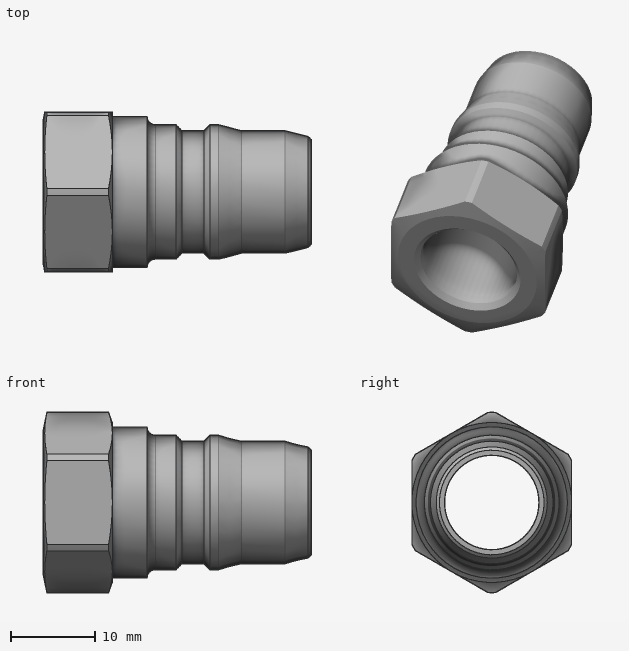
import cadquery as cq
import math

total_length = 31.9
head_length = 8.23
across_flats = 19.0
corner_diameter = 21.47
head_face_diameter = 17.13
corner_bevel_length = 0.45

collar_diameter = 18.0
collar_end = 12.38
collar_fillet = 0.95

land_diameter = 16.0
land_end = 15.8
groove_diameter = 14.58
groove_end = 19.1
groove_depth = (land_diameter - groove_diameter) / 2
ridge_end = 20.85

nose_start = 23.57
nose_end = 28.75
tip_radius = 6.6
tip_bevel = 0.38

bore_mouth_diameter = 13.15
bore_diameter = 11.9
bore_depth = 15.95
exit_diameter = 11.2


def revolve_about_x(profile):
    return profile.close().revolve(360, (0, 0, 0), (1, 0, 0))


def make_head():
    hexagon = (
        cq.Workplane("YZ")
        .polygon(6, across_flats / math.cos(math.pi / 6))
        .extrude(head_length)
        .rotate((0, 0, 0), (1, 0, 0), 30)
    )
    corner_radius = corner_diameter / 2
    face_radius = head_face_diameter / 2
    envelope = cq.Workplane("XY").polyline([
        (0, 0),
        (0, face_radius),
        (corner_bevel_length, corner_radius),
        (head_length - corner_bevel_length, corner_radius),
        (head_length, across_flats / 2),
        (head_length, 0),
    ])
    return hexagon.intersect(revolve_about_x(envelope))


def make_body():
    land_radius = land_diameter / 2
    groove_radius = groove_diameter / 2
    fillet_end = collar_end + collar_fillet
    fillet_offset = collar_fillet * (1 - math.sqrt(0.5))
    profile = (
        cq.Workplane("XY")
        .lineTo(0, head_face_diameter / 2)
        .lineTo(head_length, head_face_diameter / 2)
        .lineTo(head_length, collar_diameter / 2)
        .lineTo(collar_end, collar_diameter / 2)
        .lineTo(collar_end, land_radius + collar_fillet)
        .threePointArc(
            (collar_end + fillet_offset, land_radius + fillet_offset),
            (fillet_end, land_radius),
        )
        .lineTo(land_end, land_radius)
        .lineTo(land_end + groove_depth, groove_radius)
        .lineTo(groove_end, groove_radius)
        .lineTo(groove_end + groove_depth, land_radius)
        .lineTo(ridge_end, land_radius)
        .lineTo(nose_start, groove_radius)
        .lineTo(nose_end, groove_radius)
        .lineTo(total_length - tip_bevel, tip_radius)
        .lineTo(total_length, tip_radius - tip_bevel)
        .lineTo(total_length, 0)
    )
    return revolve_about_x(profile)


def make_bore():
    mouth_radius = bore_mouth_diameter / 2
    bore_radius = bore_diameter / 2
    exit_radius = exit_diameter / 2
    profile = cq.Workplane("XY").polyline([
        (0, 0),
        (0, mouth_radius),
        (mouth_radius - bore_radius, bore_radius),
        (bore_depth, bore_radius),
        (bore_depth + bore_radius - exit_radius, exit_radius),
        (total_length, exit_radius),
        (total_length, 0),
    ])
    return revolve_about_x(profile)


result = make_head().union(make_body()).cut(make_bore())